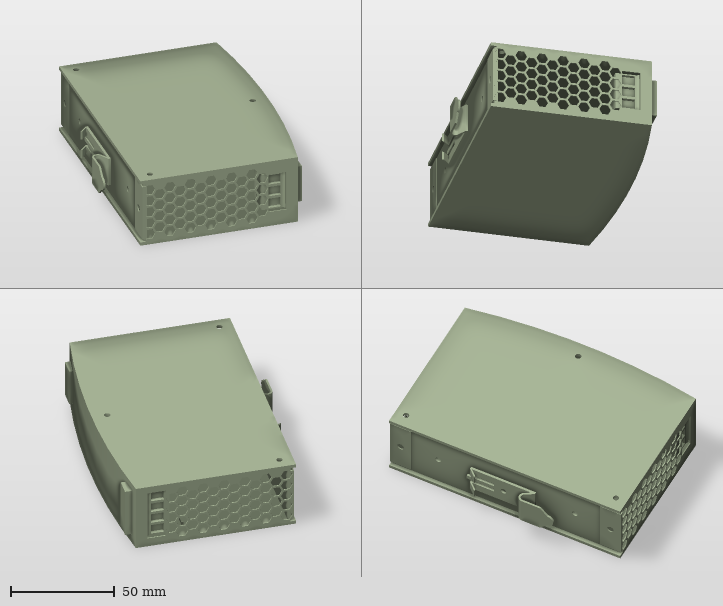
import cadquery as cq
import math

length = 125
height = 35
depth = 85.2
front_sag = 5.5

plate_thickness = 1.8
sheet = 0.54
screw_hole_diameter = 3.0
corner_hole_x = 56.8
corner_hole_y = 6.8
front_hole_y = 77.5

flange_y = 1.0
flange_width = 11.4
flange_height = 28.2
flange_hole_diameter = 3.5
flange_hole_x = 56.8
relief_depth = 2.8

rib_center_x = -47.5
rib_y = 53.2
rib_length = 8.8
rib_thickness = 1.0
rib_height = 1.5

panel_y = 2.0
panel_thickness = 1.8
panel_width = 123.0
panel_hole_pitch = 37.0

vent_pitch = 6.0
vent_flats = 5.0
vent_columns = 12
vent_start_y = 4.6
long_column_rows = 5
short_column_rows = 4

pole_pitch = 6.4
block_length = 21.2
block_face_x = 60.8
lip_outer_x = 61.5
lip_end_y = 73.9
block_inner_x = 49.6
nose_outer_x = 57.8
lip_start_y = 72.6
pocket_width = 6.5
pocket_height = 5.0
pocket_depth = 1.9
pocket_center_y = 68.5
opening_margin = 0.56
side_opening_start_y = 64.9
side_opening_end_y = 74.0

left_poles = 4
left_front_y = 83.9
left_center_z = 0.5
right_poles = 3
right_center_z = 0.2
right_front_y = 83.4

clip_width = 14.4
clip_thickness = 1.2
spring_thickness = 1.0
clip_start_x = -18.1
tongue_start_x = -19.9
tongue_width = 2.1
slot_end_x = -5.0
slot_outer_width = 5.8
prong_reach = 4.4
prong_drop = 4.0
prong_thickness = 1.0
hook_center_x = 13.4
hook_radius = 2.8
hook_angle = 30
hook_bottom_y = -8.1
point_start_x = 23.2
point_radius = 3.2

inner_height = height - 2 * plate_thickness


def box_between(x_range, y_range, z_range):
    """Box spanning the given (low, high) ranges."""
    sizes = [high - low for low, high in (x_range, y_range, z_range)]
    start = cq.Vector(x_range[0], y_range[0], z_range[0])
    return cq.Workplane(cq.Solid.makeBox(*sizes, start))


def bowed_slab(half_width, corner_y, apex_y, slab_height):
    """Slab centred on Z whose front edge bows from the corners out to the apex."""
    return (
        cq.Workplane("XY", origin=(0, 0, -slab_height / 2))
        .moveTo(-half_width, 0)
        .lineTo(half_width, 0)
        .lineTo(half_width, corner_y)
        .threePointArc((0, apex_y), (-half_width, corner_y))
        .close()
        .extrude(slab_height)
    )


def enclosure_outline_slab():
    return bowed_slab(length / 2, depth - front_sag, depth, height)


def enclosure_cavity():
    """Inside of the case, open at the back, with its front concentric to the outer bow."""
    half = length / 2
    radius = (half**2 + front_sag**2) / (2 * front_sag)
    inner_half = half - sheet
    inner_corner_y = depth - radius + math.sqrt((radius - sheet) ** 2 - inner_half**2)
    return bowed_slab(inner_half, inner_corner_y, depth - sheet, inner_height)


def holes_along_y(points, diameter, y_range):
    """Cylinders along Y at the given (x, z) points."""
    return (
        cq.Workplane("XZ", origin=(0, y_range[0], 0))
        .pushPoints(points)
        .circle(diameter / 2)
        .extrude(y_range[0] - y_range[1])
    )


def vent_cutters():
    """Hexagonal prisms through both side walls."""
    column_step = vent_pitch * math.sqrt(3) / 2
    points = []
    for column in range(vent_columns):
        rows = long_column_rows if column % 2 == 0 else short_column_rows
        for row in range(rows):
            z = (row - (rows - 1) / 2) * vent_pitch
            points.append((vent_start_y + column * column_step, z))
    across_corners = vent_flats * 2 / math.sqrt(3)
    return (
        cq.Workplane("YZ", origin=(-length / 2, 0, 0))
        .pushPoints(points)
        .polygon(6, across_corners)
        .extrude(length)
    )


def terminal_openings(side, poles, center_z):
    """Cutters for the side and front openings around a terminal block."""
    half_height = poles * pole_pitch / 2 + opening_margin
    z_range = (center_z - half_height, center_z + half_height)
    side_x = sorted((side * length / 2, side * (length / 2 - sheet)))
    front_x = sorted((side * nose_outer_x, side * block_inner_x))
    side_cut = box_between(side_x, (side_opening_start_y, side_opening_end_y), z_range)
    front_cut = box_between(front_x, (side_opening_end_y, depth), z_range)
    return side_cut.union(front_cut)


def cut_wall_ends(case):
    """Set the wall ends back from the plate edges, with deeper reliefs above and below the flanges."""
    half = length / 2
    top_z = inner_height / 2
    case = case.cut(box_between((-half, half), (0, flange_y), (-top_z, top_z)))
    for low, high in ((-top_z, -flange_height / 2), (flange_height / 2, top_z)):
        case = case.cut(box_between((-half, half), (0, relief_depth), (low, high)))
    return case


def flange(side):
    """Back flange of one side wall, with its screw hole; side is -1 for left, 1 for right."""
    x_range = sorted((side * length / 2, side * (length / 2 - flange_width)))
    y_range = (flange_y, flange_y + sheet)
    plate = box_between(x_range, y_range, (-flange_height / 2, flange_height / 2))
    return plate.cut(holes_along_y([(side * flange_hole_x, 0)], flange_hole_diameter, y_range))


def top_screw_holes():
    points = [(-corner_hole_x, corner_hole_y), (corner_hole_x, corner_hole_y), (0, front_hole_y)]
    return (
        cq.Workplane("XY", origin=(0, 0, inner_height / 2))
        .pushPoints(points)
        .circle(screw_hole_diameter / 2)
        .extrude(plate_thickness)
    )


def floor_rib():
    floor_z = -inner_height / 2
    return box_between(
        (rib_center_x - rib_length / 2, rib_center_x + rib_length / 2),
        (rib_y, rib_y + rib_thickness),
        (floor_z, floor_z + rib_height),
    )


def make_case():
    case = enclosure_outline_slab().cut(enclosure_cavity())
    case = cut_wall_ends(case.cut(vent_cutters()))
    for side in (-1, 1):
        case = case.union(flange(side))
    case = case.cut(top_screw_holes()).union(floor_rib())
    case = case.cut(terminal_openings(-1, left_poles, left_center_z))
    return case.cut(terminal_openings(1, right_poles, right_center_z))


def make_back_panel():
    y_range = (panel_y, panel_y + panel_thickness)
    panel = box_between(
        (-panel_width / 2, panel_width / 2), y_range, (-inner_height / 2, inner_height / 2)
    )
    points = [(-panel_hole_pitch, 0), (0, 0), (panel_hole_pitch, 0)]
    return panel.cut(holes_along_y(points, screw_hole_diameter, y_range))


def make_terminal_block(side, poles, front_y, center_z):
    """Terminal block whose wire pockets face the side wall; side is -1 for left, 1 for right."""
    block_height = poles * pole_pitch
    block = (
        cq.Workplane("XY", origin=(0, 0, center_z - block_height / 2))
        .moveTo(side * block_inner_x, front_y)
        .lineTo(side * nose_outer_x, front_y)
        .lineTo(side * nose_outer_x, lip_end_y)
        .lineTo(side * lip_outer_x, lip_end_y)
        .lineTo(side * block_face_x, lip_start_y)
        .lineTo(side * block_face_x, front_y - block_length)
        .lineTo(side * block_inner_x, front_y - block_length)
        .close()
        .extrude(block_height)
    )
    pocket_x = sorted((side * block_face_x, side * (block_face_x - pocket_depth)))
    pocket_y = (pocket_center_y - pocket_width / 2, pocket_center_y + pocket_width / 2)
    for pole in range(poles):
        z = center_z + (pole - (poles - 1) / 2) * pole_pitch
        pocket_z = (z - pocket_height / 2, z + pocket_height / 2)
        block = block.cut(box_between(pocket_x, pocket_y, pocket_z))
    return block


def make_clip():
    angle = math.radians(hook_angle)
    cos_a = math.cos(angle)
    sin_a = math.sin(angle)
    center_y = hook_bottom_y + hook_radius
    inner_radius = hook_radius - spring_thickness

    def arm_point(radius, y):
        """Point at height y on the arm line tangent to the bend of the given radius."""
        tangent_x = hook_center_x - radius * sin_a
        tangent_y = center_y + radius * cos_a
        return (tangent_x + (y - tangent_y) * cos_a / sin_a, y)

    def bend_point(radius, degrees):
        turn = math.radians(degrees)
        return (hook_center_x + radius * math.cos(turn), center_y + radius * math.sin(turn))

    tangent_angle = 90 + hook_angle
    middle_angle = (tangent_angle + 270) / 2
    point_center_x = point_start_x + clip_width / 2 - point_radius
    point_end_x = point_center_x + point_radius
    plate_end = arm_point(inner_radius, -clip_thickness)
    prong_root = clip_start_x + prong_thickness * prong_reach / prong_drop
    prong_tip = clip_start_x + prong_reach
    profile = (
        cq.Workplane("XY", origin=(0, 0, -clip_width / 2))
        .moveTo(clip_start_x, 0)
        .lineTo(plate_end[0], 0)
        .lineTo(*plate_end)
        .lineTo(*bend_point(inner_radius, tangent_angle))
        .threePointArc(bend_point(inner_radius, middle_angle), bend_point(inner_radius, 270))
        .lineTo(point_end_x, hook_bottom_y + spring_thickness)
        .lineTo(point_end_x, hook_bottom_y)
        .lineTo(hook_center_x, hook_bottom_y)
        .threePointArc(bend_point(hook_radius, middle_angle), bend_point(hook_radius, tangent_angle))
        .lineTo(*arm_point(hook_radius, -clip_thickness))
        .lineTo(prong_root, -clip_thickness)
        .lineTo(prong_tip, prong_thickness - clip_thickness - prong_drop)
        .lineTo(prong_tip, -clip_thickness - prong_drop)
        .lineTo(clip_start_x, -clip_thickness)
        .close()
        .extrude(clip_width)
    )

    half = clip_width / 2
    blade = (
        cq.Workplane("XZ")
        .moveTo(clip_start_x, -half)
        .lineTo(point_start_x, -half)
        .lineTo(point_center_x, -point_radius)
        .threePointArc((point_end_x, 0), (point_center_x, point_radius))
        .lineTo(point_start_x, half)
        .lineTo(clip_start_x, half)
        .close()
        .extrude(-hook_bottom_y)
    )
    clip = profile.intersect(blade)

    slot = box_between(
        (clip_start_x, slot_end_x), (hook_bottom_y, 0), (-slot_outer_width / 2, slot_outer_width / 2)
    )
    tongue = box_between(
        (tongue_start_x, slot_end_x), (-clip_thickness, 0), (-tongue_width / 2, tongue_width / 2)
    )
    hole = holes_along_y([(0, 0)], screw_hole_diameter, (-clip_thickness, 0))
    return clip.cut(slot).union(tongue).cut(hole)


case = make_case()
back_panel = make_back_panel()
left_terminal = make_terminal_block(-1, left_poles, left_front_y, left_center_z)
right_terminal = make_terminal_block(1, right_poles, right_front_y, right_center_z)
clip = make_clip()

result = cq.Compound.makeCompound(
    [case.val(), back_panel.val(), left_terminal.val(), right_terminal.val(), clip.val()]
)